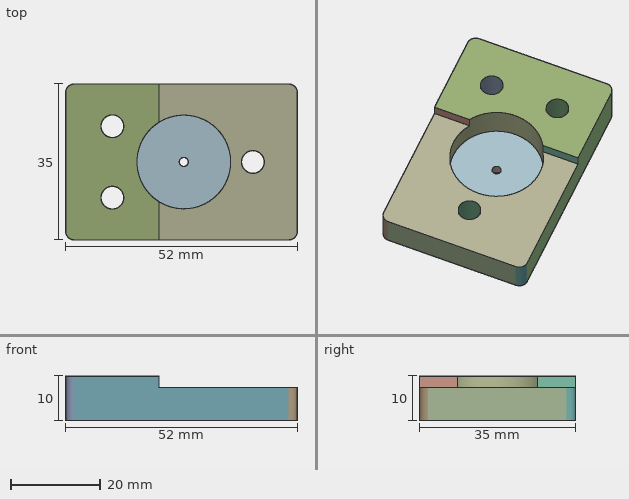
import cadquery as cq

length = 52.0
width = 35.0
height = 10.0
corner_radius = 2.0

raised_length = 21.0
step_drop = 2.5
low_height = height - step_drop

pocket_diameter = 21.0
pocket_depth = 5.0
pocket_floor = low_height - pocket_depth
pocket_x = 26.5
center_hole_diameter = 2.0

mount_diameter = 5.05
pair_x = 10.5
pair_spacing = 16.0
single_x = 42.0
middle_y = width / 2
mount_points = [
    (pair_x, middle_y - pair_spacing / 2),
    (pair_x, middle_y + pair_spacing / 2),
    (single_x, middle_y),
]


def vertical_cutter(x, y, diameter, bottom):
    """Cylinder from the given level up to the top of the plate."""
    base = cq.Workplane("XY", origin=(x, y, bottom))
    return base.circle(diameter / 2).extrude(height - bottom)


plate = cq.Workplane("XY").box(length, width, height, centered=False)
plate = plate.edges("|Z").fillet(corner_radius)

step_cutter = cq.Workplane("XY", origin=(raised_length, 0, low_height)).box(
    length - raised_length, width, step_drop, centered=False
)
result = plate.cut(step_cutter)

result = result.cut(vertical_cutter(pocket_x, middle_y, pocket_diameter, pocket_floor))
result = result.cut(vertical_cutter(pocket_x, middle_y, center_hole_diameter, 0))

for x, y in mount_points:
    result = result.cut(vertical_cutter(x, y, mount_diameter, 0))